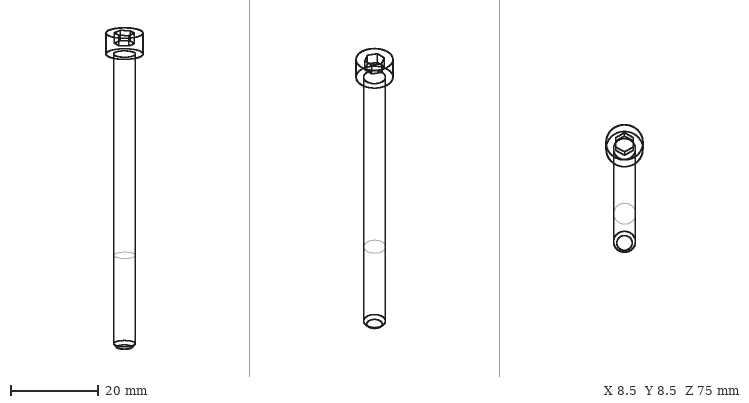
import cadquery as cq
import math

total_length = 75.0
head_diameter = 8.5
shank_diameter = 5.0
head_height = shank_diameter
thread_length = 22.0

tip_diameter = 3.5
tip_height = 0.8

socket_across_flats = 4.0
socket_depth = 2.5

shank_length = total_length - head_height


def make_threaded_end():
    """Plain cylinder at the thread's outer diameter, ending in a cone."""
    shank_radius = shank_diameter / 2
    outline = [
        (0, 0),
        (tip_diameter / 2, 0),
        (shank_radius, tip_height),
        (shank_radius, thread_length),
        (0, thread_length),
    ]
    return cq.Workplane("XZ").polyline(outline).close().revolve(360, (0, 0), (0, 1))


def make_plain_shank():
    return (
        cq.Workplane("XY", origin=(0, 0, thread_length))
        .circle(shank_diameter / 2)
        .extrude(shank_length - thread_length)
    )


def make_head():
    return (
        cq.Workplane("XY", origin=(0, 0, shank_length))
        .circle(head_diameter / 2)
        .extrude(head_height)
    )


def make_socket():
    across_corners = socket_across_flats / math.cos(math.pi / 6)
    return (
        cq.Workplane("XY", origin=(0, 0, total_length))
        .polygon(6, across_corners)
        .extrude(-socket_depth)
    )


screw = make_threaded_end().union(make_plain_shank(), clean=False).union(make_head(), clean=False)
result = screw.cut(make_socket())